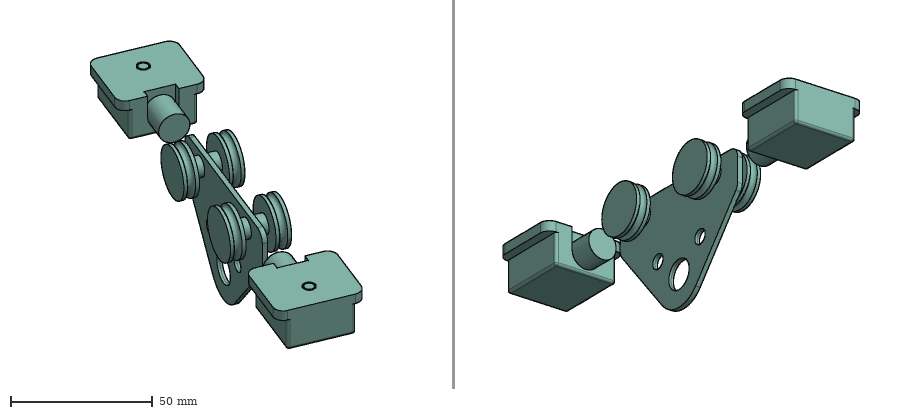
import cadquery as cq
import math


total_length = 171.8

wheel_diameter = 20.8
wheel_width = 6.0
wheel_groove_radius = wheel_width / 4
axle_diameter = 8.0
axle_spacing = 42.1
wheel_set_width = 23.5

plate_thickness = 2.0
plate_width = 70.0
plate_top_z = 6.2
side_corner_z = -10.0
side_corner_radius = 4.3
load_hole_diameter = 12.0
load_hole_z = -31.0
toe_radius = 13.0
small_hole_diameter = 6.0
small_hole_spacing = 25.0
small_hole_z = -21.0

lid_length = 29.0
lid_width = 34.0
lid_thickness = 4.1
lid_corner_radius = 4.0
lid_top_z = 8.8
housing_height = 17.0
box_width = 26.3
box_edge_radius = 1.0
ring_outer_diameter = 5.0
ring_inner_diameter = 4.0
ring_depth = 0.5
ring_distance = 11.0

buffer_diameter = 12.0
buffer_reach = 10.0
buffer_drop = 9.1
slot_width = buffer_diameter
slot_depth = 3.1

housing_inner_x = total_length / 2 - lid_length
buffer_z = lid_top_z - buffer_drop


def make_plate():
    """Triangular plate with a rounded toe, load hole, small holes and axle holes."""
    half_width = plate_width / 2
    corner_rise = side_corner_z - load_hole_z
    corner_distance = math.hypot(half_width, corner_rise)
    normal_angle = math.atan2(corner_rise, half_width) - math.acos(toe_radius / corner_distance)
    tangent_x = toe_radius * math.cos(normal_angle)
    tangent_z = load_hole_z + toe_radius * math.sin(normal_angle)

    plate = (
        cq.Workplane("XZ")
        .moveTo(-half_width, plate_top_z)
        .lineTo(half_width, plate_top_z)
        .lineTo(half_width, side_corner_z)
        .lineTo(tangent_x, tangent_z)
        .threePointArc((0, load_hole_z - toe_radius), (-tangent_x, tangent_z))
        .lineTo(-half_width, side_corner_z)
        .close()
        .extrude(plate_thickness / 2, both=True)
    )
    plate = plate.edges("|Y and (<X or >X)").fillet(side_corner_radius)

    def drill(body, diameter, places):
        holes = (
            cq.Workplane("XZ")
            .pushPoints(places)
            .circle(diameter / 2)
            .extrude(plate_thickness, both=True)
        )
        return body.cut(holes)

    plate = drill(plate, load_hole_diameter, [(0, load_hole_z)])
    plate = drill(plate, small_hole_diameter,
                  [(side * small_hole_spacing / 2, small_hole_z) for side in (-1, 1)])
    return drill(plate, axle_diameter, [(side * axle_spacing / 2, 0) for side in (-1, 1)])


def make_wheel_set(x):
    """Axle with a grooved wheel at each end, centred at the given X."""
    axle = cq.Workplane("XZ").circle(axle_diameter / 2).extrude(wheel_set_width / 2, both=True)
    wheel = cq.Workplane("XZ").circle(wheel_diameter / 2).extrude(wheel_width / 2, both=True)
    groove = (
        cq.Workplane("XY")
        .center(wheel_diameter / 2, 0)
        .circle(wheel_groove_radius)
        .revolve(360, (-wheel_diameter / 2, 0), (-wheel_diameter / 2, 1))
    )
    wheel = wheel.cut(groove)
    wheel_set = axle
    wheel_y = (wheel_set_width - wheel_width) / 2
    for side in (-1, 1):
        wheel_set = wheel_set.union(wheel.translate((0, side * wheel_y, 0)))
    return wheel_set.translate((x, 0, 0))


def make_right_housing():
    """Housing at the +X end: box under a wider lid, slot for the buffer, ring in the lid."""
    centre_x = housing_inner_x + lid_length / 2
    box = (
        cq.Workplane("XY", origin=(centre_x, 0, lid_top_z - housing_height))
        .rect(lid_length, box_width)
        .extrude(housing_height - lid_thickness)
        .edges("|Z or <Z")
        .fillet(box_edge_radius)
    )
    lid = (
        cq.Workplane("XY", origin=(centre_x, 0, lid_top_z - lid_thickness))
        .rect(lid_length, lid_width)
        .extrude(lid_thickness)
        .edges("|Z")
        .fillet(lid_corner_radius)
    )
    slot = (
        cq.Workplane("YZ", origin=(housing_inner_x, 0, 0))
        .moveTo(-slot_width / 2, lid_top_z)
        .lineTo(-slot_width / 2, buffer_z)
        .threePointArc((0, buffer_z - slot_width / 2), (slot_width / 2, buffer_z))
        .lineTo(slot_width / 2, lid_top_z)
        .close()
        .extrude(slot_depth)
    )
    ring = (
        cq.Workplane("XY", origin=(total_length / 2 - ring_distance, 0, lid_top_z - ring_depth))
        .circle(ring_outer_diameter / 2)
        .circle(ring_inner_diameter / 2)
        .extrude(ring_depth)
    )
    return box.union(lid).cut(slot).cut(ring)


def make_right_buffer():
    """Round buffer at the +X end, standing on the back wall of the housing slot."""
    return (
        cq.Workplane("YZ", origin=(housing_inner_x - buffer_reach, 0, buffer_z))
        .circle(buffer_diameter / 2)
        .extrude(buffer_reach + slot_depth)
    )


plate = make_plate()
wheel_sets = [make_wheel_set(side * axle_spacing / 2) for side in (-1, 1)]

right_housing = make_right_housing()
housings = [right_housing, right_housing.mirror("YZ")]

right_buffer = make_right_buffer()
buffers = [right_buffer, right_buffer.mirror("YZ")]

bodies = [plate] + wheel_sets + housings + buffers
result = cq.Compound.makeCompound([body.val() for body in bodies])